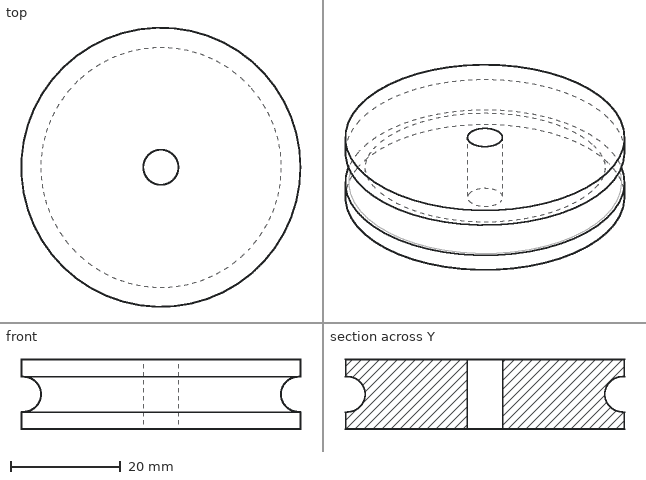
import cadquery as cq

outer_diameter = 50.8
thickness = 12.7
bore_diameter = thickness / 2
groove_depth = 3.55
lip_width = 0.6
lip_rise = 0.075
arc_half_width = 3.15

outer_radius = outer_diameter / 2
bore_radius = bore_diameter / 2
half_thickness = thickness / 2
arc_edge_radius = outer_radius - lip_width
groove_floor_radius = outer_radius - groove_depth
mouth_half_width = arc_half_width + lip_rise

section = (
    cq.Workplane("XZ")
    .moveTo(bore_radius, -half_thickness)
    .lineTo(outer_radius, -half_thickness)
    .lineTo(outer_radius, -mouth_half_width)
    .lineTo(arc_edge_radius, -arc_half_width)
    .threePointArc((groove_floor_radius, 0), (arc_edge_radius, arc_half_width))
    .lineTo(outer_radius, mouth_half_width)
    .lineTo(outer_radius, half_thickness)
    .lineTo(bore_radius, half_thickness)
    .close()
)

result = section.revolve(360, (0, 0, 0), (0, 1, 0))